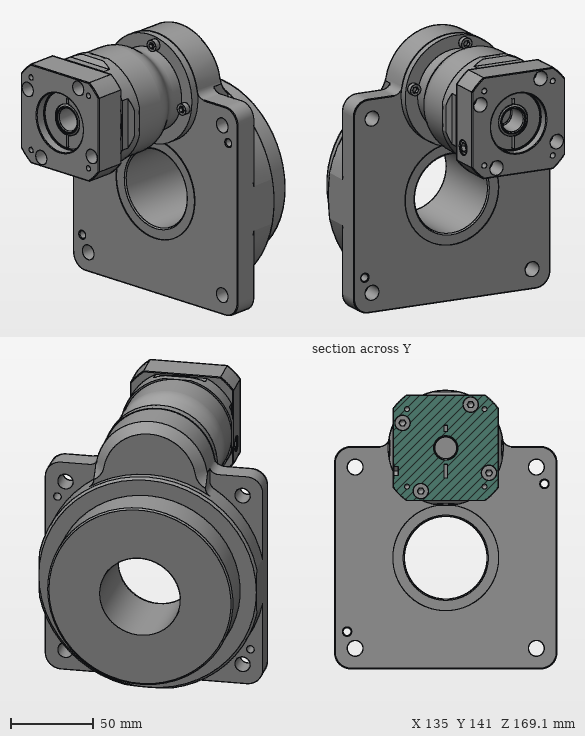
import cadquery as cq
import math


EDGE_BREAK = 0.5
DRILL_HALF_ANGLE = math.radians(59)
PLATE_SIDE = 135.0
TOTAL_HEIGHT = 169.1
BACK_Y = 55.0
FRONT_Y = -86.0

PLATE_THICKNESS = 14.7
PLATE_CORNER_RADIUS = 10.0
BOLT_HALF_SPACING = 55.0
BOLT_HOLE_RADIUS = 4.7
DOWEL_X = 59.9
DOWEL_Z = 44.8
DOWEL_RADIUS = 2.4

DISC_RADIUS = 69.0
DISC_BACK_Y = 33.0
DISC_CHAMFER = 1.5
SPIGOT_RADIUS = 57.5
SPIGOT_CHAMFER = 1.0
BORE_RADIUS = 25.0
BORE_CHAMFER = 0.8
SHAFT_RADIUS = 32.1
SHAFT_RECESS = 0.5

FLANGE_RADIUS = 35.0
FLANGE_FRONT_Y = -5.4
HOUSING_RADIUS = 34.7
HOUSING_BACK_Y = 27.2
HOUSING_CHAMFER = 6.0
BLEND_RADIUS = 6.0

FLANGE_SCREW_CIRCLE = 30.3
FLANGE_SCREW_ANGLE = 10.0
FLANGE_SCREW_RADIUS = 3.5
FLANGE_SCREW_HEIGHT = 3.7

NECK_RADIUS = 26.5
NECK_END_Y = -12.7
GEAR_RADIUS = 34.0
CONCAVE_RADIUS = 10.0
CONVEX_RADIUS = 15.9
FLARE_ANGLE = math.radians(35)

COUPLING_RADIUS = 35.0
COUPLING_BACK_Y = -51.4
COUPLING_FRONT_Y = -64.0
UPPER_FLAT = GEAR_RADIUS
LOWER_FLAT = 31.1
SLOPE_BACK_Y = -56.1
SLOPE_FRONT_Y = -58.8

ADAPTER_BACK_Y = -65.6
ADAPTER_HALF_SIDE = 32.0
ADAPTER_CORNER_RADIUS = 39.9
PILOT_RADIUS = 19.0
PILOT_DEPTH = 6.3
TAP_HALF_SPACING = 23.5
TAP_RADIUS = 1.7
TAP_DEPTH = 10.1
ADAPTER_SCREW_CIRCLE = 30.3
ADAPTER_SCREW_ANGLE = 30.0
ADAPTER_SCREW_RADIUS = 4.5
ADAPTER_SCREW_DEPTH = 13.5

SOCKET_WIDTH = 3.7
SOCKET_DEPTH = 2.5

RING_RADIUS = 18.3
RING_RECESS = 0.7
HUB_OUTER_RADIUS = 10.0
HUB_FACE_RADIUS = 8.6
HUB_GROOVE_DEPTH = 0.8
HUB_BORE_RADIUS = 7.3
HUB_BORE_DEPTH = 15.2
HUB_CHAMFER = 0.7
SLIT_WIDTH = 1.9
SLIT_TOP = 13.7
SLIT_DEPTH = 6.8

PLUG_Y = -74.4
PLUG_DROP = 14.0
PLUG_RADIUS = 4.4
PLUG_SOCKET_WIDTH = 5.4

PLATE_HALF = PLATE_SIDE / 2
INPUT_Z = TOTAL_HEIGHT - PLATE_HALF - FLANGE_RADIUS


def front_plane(y, x=0.0, z=0.0):
    """Sketch plane facing -Y, with its origin at the given point."""
    return cq.Workplane("XZ", origin=(x, y, z))


def cylinder(radius, back_y, front_y, x=0.0, z=0.0):
    return front_plane(back_y, x, z).circle(radius).extrude(back_y - front_y)


def cone(back_radius, front_radius, back_y, front_y, x=0.0, z=0.0):
    base = cq.Vector(x, back_y, z)
    forward = cq.Vector(0, -1, 0)
    return cq.Workplane(cq.Solid.makeCone(back_radius, front_radius, back_y - front_y, base, forward))


def box_between(x_range, y_range, z_range):
    sizes = [high - low for low, high in (x_range, y_range, z_range)]
    corner = (x_range[0], y_range[0], z_range[0])
    return cq.Workplane("XY").box(*sizes, centered=False).translate(corner)


def hex_socket(y, x, z, width):
    """Hexagonal screw socket entering a face at the given y."""
    across_corners = width / math.cos(math.pi / 6)
    return front_plane(y + SOCKET_DEPTH, x, z).polygon(6, across_corners).extrude(SOCKET_DEPTH)


def drill_point(radius, y, x, z):
    return cone(0, radius, y + radius / math.tan(DRILL_HALF_ANGLE), y, x, z)


def screw_circle(radius, angle):
    """Four (x, z) places spaced evenly around the input axis."""
    places = []
    for quarter in range(4):
        turn = math.radians(angle + 90 * quarter)
        places.append((radius * math.sin(turn), INPUT_Z + radius * math.cos(turn)))
    return places


def make_plate():
    plate = front_plane(PLATE_THICKNESS).rect(PLATE_SIDE, PLATE_SIDE).extrude(PLATE_THICKNESS)
    plate = plate.edges("|Y").fillet(PLATE_CORNER_RADIUS)
    return plate.faces("<Y").edges().chamfer(EDGE_BREAK)


def make_output_housing():
    disc = cylinder(DISC_RADIUS, DISC_BACK_Y, 0).faces(">Y").edges().chamfer(DISC_CHAMFER)
    envelope = box_between(
        (-PLATE_HALF, PLATE_HALF), (PLATE_THICKNESS, DISC_BACK_Y), (-PLATE_HALF, DISC_RADIUS)
    )
    spigot = cylinder(SPIGOT_RADIUS, BACK_Y, 0).faces(">Y").edges().chamfer(SPIGOT_CHAMFER)
    return disc.intersect(envelope).union(spigot)


def cut_plate_holes(body):
    for x in (-BOLT_HALF_SPACING, BOLT_HALF_SPACING):
        for z in (-BOLT_HALF_SPACING, BOLT_HALF_SPACING):
            body = body.cut(cylinder(BOLT_HOLE_RADIUS, PLATE_THICKNESS, 0, x, z))
    for side in (-1, 1):
        x, z = side * DOWEL_X, side * DOWEL_Z
        body = body.cut(cylinder(DOWEL_RADIUS, PLATE_THICKNESS, 0, x, z))
        body = body.cut(cone(DOWEL_RADIUS, DOWEL_RADIUS + EDGE_BREAK, EDGE_BREAK, 0, x, z))
    return body


def cut_hollow_shaft(body):
    body = body.cut(cylinder(SHAFT_RADIUS, SHAFT_RECESS, 0))
    body = body.cut(cylinder(BORE_RADIUS, BACK_Y, 0))
    chamfer_back_y = SHAFT_RECESS + BORE_CHAMFER
    return body.cut(cone(BORE_RADIUS, BORE_RADIUS + BORE_CHAMFER, chamfer_back_y, SHAFT_RECESS))


def make_input_housing():
    """Round housing blended into the plate and the disc; its back chamfer follows the upper blends."""
    chamfer_y = HOUSING_BACK_Y - HOUSING_CHAMFER
    housing = cylinder(HOUSING_RADIUS, HOUSING_BACK_Y, 0, 0, INPUT_Z)
    housing = housing.faces(">Y").edges().chamfer(HOUSING_CHAMFER)

    upper_z = PLATE_HALF + BLEND_RADIUS
    upper_x = math.sqrt((HOUSING_RADIUS + BLEND_RADIUS) ** 2 - (upper_z - INPUT_Z) ** 2)

    wall_x = HOUSING_RADIUS
    wall_top_z = INPUT_Z + (upper_z - INPUT_Z) * wall_x / upper_x
    lower_x = wall_x + BLEND_RADIUS
    lower_z = math.sqrt((DISC_RADIUS + BLEND_RADIUS) ** 2 - lower_x**2)
    disc_share = DISC_RADIUS / (DISC_RADIUS + BLEND_RADIUS)
    disc_contact = (lower_x * disc_share, lower_z * disc_share)

    front_profile = [(0, INPUT_Z), (upper_x, upper_z), (upper_x, INPUT_Z)]
    back_profile = [(0, INPUT_Z), (wall_x, wall_top_z), (wall_x, lower_z), disc_contact, (0, 0)]
    web = front_plane(PLATE_THICKNESS).polyline(front_profile).close().extrude(PLATE_THICKNESS)
    back_depth = HOUSING_BACK_Y - PLATE_THICKNESS
    web = web.union(front_plane(HOUSING_BACK_Y).polyline(back_profile).close().extrude(back_depth))

    flared_radius = BLEND_RADIUS + HOUSING_CHAMFER
    web = web.cut(cylinder(BLEND_RADIUS, HOUSING_BACK_Y, 0, upper_x, upper_z))
    web = web.cut(cone(flared_radius, BLEND_RADIUS, HOUSING_BACK_Y, chamfer_y, upper_x, upper_z))
    web = web.cut(cylinder(BLEND_RADIUS, HOUSING_BACK_Y, PLATE_THICKNESS, lower_x, lower_z))
    return housing.union(web).union(web.mirror("YZ"))


def make_flange():
    flange = cylinder(FLANGE_RADIUS, 0, FLANGE_FRONT_Y, 0, INPUT_Z)
    head_y = FLANGE_FRONT_Y - FLANGE_SCREW_HEIGHT
    for x, z in screw_circle(FLANGE_SCREW_CIRCLE, FLANGE_SCREW_ANGLE):
        flange = flange.union(cylinder(FLANGE_SCREW_RADIUS, FLANGE_FRONT_Y, head_y, x, z))
        flange = flange.cut(hex_socket(head_y, x, z, SOCKET_WIDTH))
    return flange


def make_gear_neck():
    """Turned body: a slim neck flaring through an S-curve to the full gear radius."""

    def concave_point(angle):
        return (
            NECK_RADIUS + CONCAVE_RADIUS * (1 - math.cos(angle)),
            NECK_END_Y - CONCAVE_RADIUS * math.sin(angle),
        )

    concave_end = concave_point(FLARE_ANGLE)
    convex_start_radius = GEAR_RADIUS - CONVEX_RADIUS * (1 - math.cos(FLARE_ANGLE))
    convex_start_y = concave_end[1] - (convex_start_radius - concave_end[0]) / math.tan(FLARE_ANGLE)
    convex_end_y = convex_start_y - CONVEX_RADIUS * math.sin(FLARE_ANGLE)

    def convex_point(angle):
        return (
            GEAR_RADIUS - CONVEX_RADIUS * (1 - math.cos(angle)),
            convex_end_y + CONVEX_RADIUS * math.sin(angle),
        )

    profile = (
        cq.Workplane("XY")
        .moveTo(0, FLANGE_FRONT_Y)
        .lineTo(NECK_RADIUS, FLANGE_FRONT_Y)
        .lineTo(NECK_RADIUS, NECK_END_Y)
        .threePointArc(concave_point(FLARE_ANGLE / 2), concave_end)
        .lineTo(convex_start_radius, convex_start_y)
        .threePointArc(convex_point(FLARE_ANGLE / 2), (GEAR_RADIUS, convex_end_y))
        .lineTo(GEAR_RADIUS, COUPLING_BACK_Y)
        .lineTo(0, COUPLING_BACK_Y)
        .close()
    )
    return profile.revolve(360, (0, 0), (0, 1)).translate((0, 0, INPUT_Z))


def make_coupling_housing():
    """Round body with four stepped flats, ending in a short collar against the adapter."""
    body = cylinder(COUPLING_RADIUS, COUPLING_BACK_Y, COUPLING_FRONT_Y)
    flat_profile = [
        (UPPER_FLAT, COUPLING_BACK_Y),
        (UPPER_FLAT, SLOPE_BACK_Y),
        (LOWER_FLAT, SLOPE_FRONT_Y),
        (LOWER_FLAT, COUPLING_FRONT_Y),
        (COUPLING_RADIUS, COUPLING_FRONT_Y),
        (COUPLING_RADIUS, COUPLING_BACK_Y),
    ]
    flat = cq.Workplane("XY").polyline(flat_profile).close().extrude(COUPLING_RADIUS, both=True)
    for quarter in range(4):
        body = body.cut(flat.rotate((0, 0, 0), (0, 1, 0), 90 * quarter))
    collar = cylinder(LOWER_FLAT, COUPLING_FRONT_Y, ADAPTER_BACK_Y)
    return body.union(collar).translate((0, 0, INPUT_Z))


def make_adapter():
    length = ADAPTER_BACK_Y - FRONT_Y
    side = 2 * ADAPTER_HALF_SIDE
    block = front_plane(ADAPTER_BACK_Y, 0, INPUT_Z).rect(side, side).extrude(length)
    block = block.intersect(cylinder(ADAPTER_CORNER_RADIUS, ADAPTER_BACK_Y, FRONT_Y, 0, INPUT_Z))
    return block.faces("<Y or >Y").edges().chamfer(EDGE_BREAK)


def cut_adapter_holes(body):
    tap_end_y = FRONT_Y + TAP_DEPTH
    for x in (-TAP_HALF_SPACING, TAP_HALF_SPACING):
        for dz in (-TAP_HALF_SPACING, TAP_HALF_SPACING):
            z = INPUT_Z + dz
            body = body.cut(cylinder(TAP_RADIUS, tap_end_y, FRONT_Y, x, z))
            body = body.cut(drill_point(TAP_RADIUS, tap_end_y, x, z))
    head_y = FRONT_Y + ADAPTER_SCREW_DEPTH
    for x, z in screw_circle(ADAPTER_SCREW_CIRCLE, ADAPTER_SCREW_ANGLE):
        body = body.cut(cylinder(ADAPTER_SCREW_RADIUS, head_y, FRONT_Y, x, z))
        body = body.cut(hex_socket(head_y, x, z, SOCKET_WIDTH))
        body = body.cut(drill_point(SOCKET_WIDTH / 2, head_y + SOCKET_DEPTH, x, z))
    return body


def cut_clamping_hub(body):
    """Pilot recess whose floor is a split clamping ring around the hub for the motor shaft."""
    shoulder_y = FRONT_Y + PILOT_DEPTH
    face_y = shoulder_y + RING_RECESS
    mouth_radius = PILOT_RADIUS + EDGE_BREAK
    bore_end_y = face_y + HUB_BORE_DEPTH
    bore_mouth_radius = HUB_BORE_RADIUS + HUB_CHAMFER
    bore_end_radius = HUB_BORE_RADIUS - HUB_CHAMFER

    cuts = [
        cone(PILOT_RADIUS, mouth_radius, FRONT_Y + EDGE_BREAK, FRONT_Y),
        cylinder(PILOT_RADIUS, shoulder_y, FRONT_Y),
        cylinder(RING_RADIUS, face_y, shoulder_y),
        cone(HUB_BORE_RADIUS, bore_mouth_radius, face_y + HUB_CHAMFER, face_y),
        cylinder(HUB_BORE_RADIUS, bore_end_y, face_y),
        cone(bore_end_radius, HUB_BORE_RADIUS, bore_end_y + HUB_CHAMFER, bore_end_y),
    ]

    groove_y = face_y + HUB_GROOVE_DEPTH
    groove = cylinder(HUB_OUTER_RADIUS, groove_y, face_y)
    cuts.append(groove.cut(cone(HUB_OUTER_RADIUS, HUB_FACE_RADIUS, groove_y, face_y)))
    slit_end_y = face_y + SLIT_DEPTH
    slit = box_between(
        (-SLIT_WIDTH / 2, SLIT_WIDTH / 2), (face_y, slit_end_y), (-RING_RADIUS, SLIT_TOP)
    )
    cuts.append(slit.cut(cylinder(HUB_OUTER_RADIUS, slit_end_y, face_y)))

    for tool in cuts:
        body = body.cut(tool.translate((0, 0, INPUT_Z)))
    return body


def cut_side_plug(body):
    """Screw plug with a hexagon socket in the -X face of the adapter."""
    rim = cone(PLUG_RADIUS, PLUG_RADIUS + EDGE_BREAK, EDGE_BREAK, 0)
    socket = hex_socket(EDGE_BREAK, 0, 0, PLUG_SOCKET_WIDTH)
    plug = rim.union(socket).rotate((0, 0, 0), (0, 0, 1), -90)
    return body.cut(plug.translate((-ADAPTER_HALF_SIDE, PLUG_Y, INPUT_Z - PLUG_DROP)))


result = make_output_housing().union(make_input_housing())
result = cut_plate_holes(result.union(make_plate()))
result = cut_hollow_shaft(result)

for input_part in (make_flange(), make_gear_neck(), make_coupling_housing(), make_adapter()):
    result = result.union(input_part)
result = cut_adapter_holes(result)
result = cut_clamping_hub(result)
result = cut_side_plug(result)